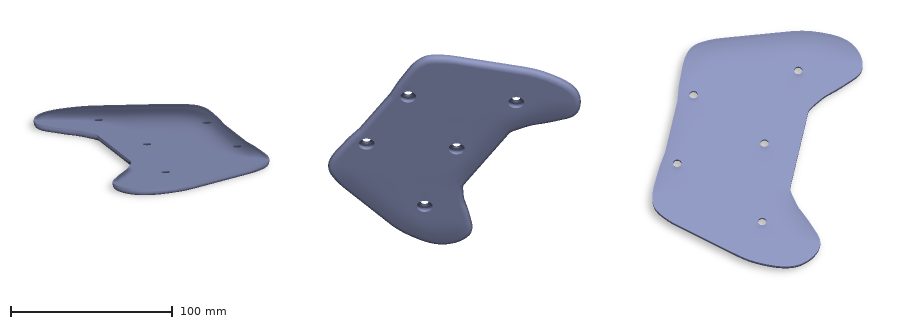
import cadquery as cq

thickness = 4.5
bottom_round = 3.0

hole_diameter = 5.2
counterbore_diameter = 10.0
counterbore_depth = 3.0
upper_hole_x = 25.0
upper_hole_y = 50.0
grip_hole_x = 55.0
grip_hole_y = -10.0

half_width = 84.4
top_edge = (18.4, 58.9)
shoulder_peak = (40.5, 60.7)
shoulder_corner = [(53.7, 59.7), (58.7, 57.4), (63.8, 50.8)]
side_start = (67.8, 41.7)
side_end = (81.7, -0.7)
grip_widest = (half_width, -19.2)
grip_outer = (79.6, -39.7)
grip_tip = (64.8, -48.5)
grip_inner = (55.8, -44.4)
notch_blend = [(46.2, -35.6), (40.2, -29.5), (36.0, -26.5)]
notch_edge = (28.2, -22.0)

shoulder_rise = (6, 1)
notch_approach = (-5, 2)


def direction(start, end):
    return (end[0] - start[0], end[1] - start[1])


def half_plate():
    """Right half of the plate, cut off at the symmetry plane."""
    side_direction = direction(side_start, side_end)
    inner_direction = direction(grip_inner, notch_blend[0])
    shoulder = [shoulder_peak, *shoulder_corner, side_start]
    grip = [grip_widest, grip_outer, grip_tip, grip_inner]
    inner_edge = [*notch_blend, notch_edge]
    return (
        cq.Workplane("XY")
        .moveTo(0, top_edge[1])
        .lineTo(*top_edge)
        .spline(shoulder, tangents=[shoulder_rise, side_direction], includeCurrent=True)
        .lineTo(*side_end)
        .spline(grip, tangents=[side_direction, inner_direction], includeCurrent=True)
        .spline(inner_edge, tangents=[inner_direction, notch_approach], includeCurrent=True)
        .lineTo(0, notch_edge[1])
        .close()
        .extrude(thickness)
    )


def rounded_plate():
    right_half = half_plate()
    plate = right_half.union(right_half.mirror("YZ")).clean()
    return plate.faces("<Z").edges().fillet(bottom_round)


def stepped_holes():
    """Cutters for the five through holes with their counterbores."""
    centres = [(0, 0)]
    for side in (-1, 1):
        centres.append((side * upper_hole_x, upper_hole_y))
        centres.append((side * grip_hole_x, grip_hole_y))
    sketch = cq.Workplane("XY").pushPoints(centres)
    holes = sketch.circle(hole_diameter / 2).extrude(thickness)
    counterbores = sketch.circle(counterbore_diameter / 2).extrude(counterbore_depth)
    return holes.union(counterbores)


result = rounded_plate().cut(stepped_holes())